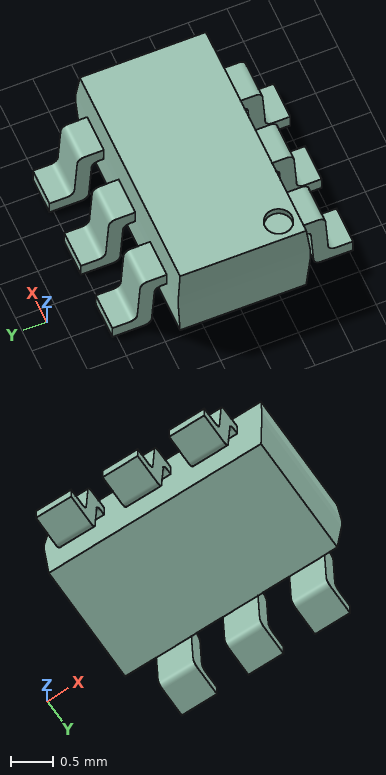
import cadquery as cq
import math


body_length = 3.1
body_width = 1.7
body_top = 1.35
body_bottom = 0.15
draft_inset = 0.037

lead_span = 3.1
lead_width = 0.502
lead_pitch = 0.95
leads_per_side = 3
lead_thickness = 0.198
lead_embedment = 0.198
shoulder_top = 0.95
shoulder_bottom = shoulder_top - lead_thickness
bend_radius = 0.1
foot_length = 0.315
riser_lean = 0.045

mark_diameter = 0.35
mark_depth = 0.1
mark_x = -1.265
mark_y = -0.56


def tapered_block(z_parting, z_end):
    """Block from the full body outline at z_parting to the inset outline at z_end."""
    return (
        cq.Workplane("XY", origin=(0, 0, z_parting))
        .rect(body_length, body_width)
        .workplane(offset=z_end - z_parting)
        .rect(body_length - 2 * draft_inset, body_width - 2 * draft_inset)
        .loft(ruled=True)
    )


def make_body():
    """Straight band at the leads, tapering inward above and below it."""
    band = (
        cq.Workplane("XY", origin=(0, 0, shoulder_bottom))
        .rect(body_length, body_width)
        .extrude(lead_thickness)
    )
    lower = tapered_block(shoulder_bottom, body_bottom)
    upper = tapered_block(shoulder_top, body_top)
    return band.union(lower).union(upper)


def make_lead():
    """Gull-wing lead on the +Y side, centred on X = 0 and ending inside the body."""
    slope = riser_lean / (shoulder_top - lead_thickness)
    toe = lead_span / 2
    root = body_width / 2 - lead_embedment
    riser_across = lead_thickness * math.hypot(1, slope)

    def outer_face(z):
        return toe - foot_length - slope * (z - lead_thickness)

    def inner_face(z):
        return outer_face(z) - riser_across

    profile = [
        (toe, 0),
        (toe, lead_thickness),
        (outer_face(lead_thickness), lead_thickness),
        (outer_face(shoulder_top), shoulder_top),
        (root, shoulder_top),
        (root, shoulder_bottom),
        (inner_face(shoulder_bottom), shoulder_bottom),
        (inner_face(0), 0),
    ]
    blank = cq.Workplane("YZ").polyline(profile).close().extrude(lead_width / 2, both=True)
    bend_zone = cq.selectors.BoxSelector(
        (-lead_width, inner_face(0) - bend_radius, -bend_radius),
        (lead_width, toe - bend_radius, shoulder_top + bend_radius),
    )
    return blank.edges("|X").edges(bend_zone).fillet(bend_radius)


def make_pin_mark():
    """Round blind recess beside the first lead."""
    return (
        cq.Workplane("XY", origin=(mark_x, mark_y, body_top))
        .circle(mark_diameter / 2)
        .extrude(-mark_depth)
    )


result = make_body()
lead = make_lead()
for index in range(leads_per_side):
    x = (index - (leads_per_side - 1) / 2) * lead_pitch
    placed = lead.translate((x, 0, 0))
    result = result.union(placed).union(placed.mirror("XZ"))
result = result.cut(make_pin_mark())